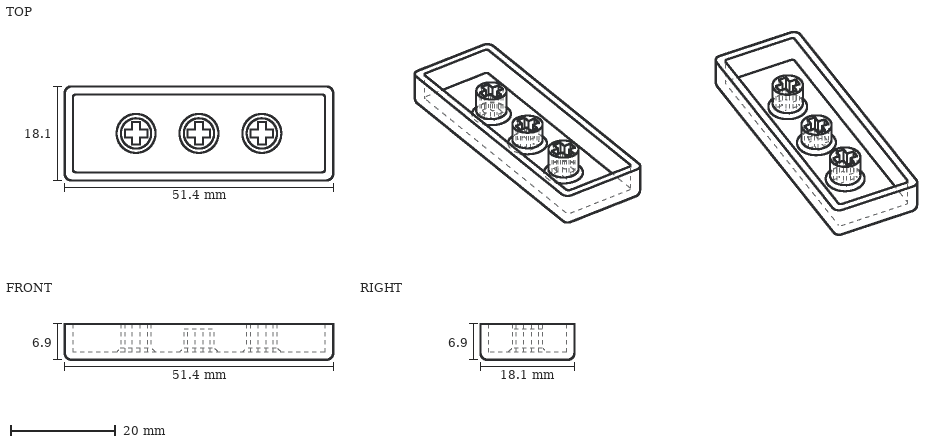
import cadquery as cq

length = 51.4
width = 18.05
height = 6.9
wall = 1.6
floor_thickness = 1.5
outer_radius = 1.4
inner_radius = 0.5

stem_pitch = 12.0
stem_diameter = 5.8
middle_stem_recess = 1.0
foot_diameter = 7.45
foot_height = (foot_diameter - stem_diameter) / 2
cross_span = 4.3
cross_arm_width = 1.55


def make_tray():
    body = cq.Workplane("XY").box(length, width, height, centered=(True, True, False))
    body = body.edges("|Z").fillet(outer_radius)
    body = body.faces("<Z").edges().fillet(outer_radius)
    cavity = (
        cq.Workplane("XY", origin=(0, 0, floor_thickness))
        .rect(length - 2 * wall, width - 2 * wall)
        .extrude(height - floor_thickness)
        .edges("|Z")
        .fillet(inner_radius)
    )
    return body.cut(cavity)


def make_stem(x, stem_top):
    base = cq.Workplane("XY", origin=(x, 0, floor_thickness))
    post = base.circle(stem_diameter / 2).extrude(stem_top - floor_thickness)
    foot = (
        base.circle(foot_diameter / 2)
        .workplane(offset=foot_height)
        .circle(stem_diameter / 2)
        .loft()
    )
    return post.union(foot)


def make_socket(x, stem_top):
    socket_depth = stem_top - floor_thickness
    top = cq.Workplane("XY", origin=(x, 0, stem_top))
    along_x = top.rect(cross_span, cross_arm_width).extrude(-socket_depth)
    along_y = top.rect(cross_arm_width, cross_span).extrude(-socket_depth)
    return along_x.union(along_y)


result = make_tray()
for position in (-1, 0, 1):
    stem_x = position * stem_pitch
    top_z = height - middle_stem_recess if position == 0 else height
    result = result.union(make_stem(stem_x, top_z)).cut(make_socket(stem_x, top_z))